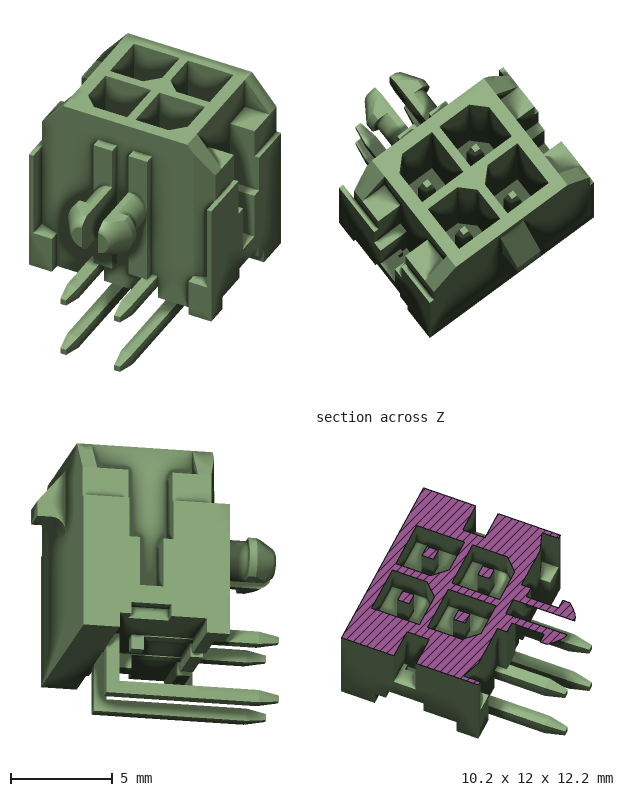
import cadquery as cq
import math


HOUSING_HEIGHT = 9.9
HOUSING_DEPTH = 6.83
CORE_HALF_WIDTH = 3.45
MID_Y = HOUSING_DEPTH / 2

POST_HALF_WIDTH = 4.82
OUTER_WIDTH = 10.15
OUTER_HALF_WIDTH = OUTER_WIDTH / 2
POST_TOP = 8.25
BEVEL_INNER_X = 3.8
BEVEL_DEPTH = 0.35
BACK_GUSSET = 0.73
FRONT_GUSSET = 1.03
PLATE_TOP = 6.73
EAR_TOP = 2.01
EAR_REACH = 0.54

WIDE_SLOT = 2.2
WIDE_SLOT_FLOOR = 4.72
NARROW_SLOT = 1.18
NARROW_SLOT_FLOOR = 2.24
POCKET_FLOOR = 1.57
POCKET_STEP_X = 3.83
POCKET_END_X = 4.14
POCKET_TONGUE = 0.78

RECESS_HEIGHT = 0.73
BACK_FOOT = 1.81
FRONT_FOOT = 0.64
NOTCH_WIDTH = 2.01
NOTCH_TOP = 1.32
NOTCH_DEPTH = 0.73

PITCH = 3.0
PIN = 0.64
PIN_TIP = 0.32
TAPER = 1.03
TAIL_REACH = 3.71
TAIL_DROP = 2.34
MATING_TIP = 6.73
BACK_LEG_SETBACK = 2.17
BACK_LEG_Y = HOUSING_DEPTH - BACK_LEG_SETBACK
UPPER_TAIL_Z = NOTCH_TOP - PIN / 2
LOWER_TAIL_Z = PIN / 2 - TAIL_DROP

CAVITY = 2.55
CAVITY_CORNER = 0.7
CAVITY_FLOOR = 3.0

RIB_INNER_X = 0.45
RIB_OUTER_X = 1.49
RIB_TOP = 8.52
RIB_REACH = 0.51
PEG_Z = 5.3
PEG_HALF_HEIGHT = 1.0
PEG_AXIS_X = 0.4
SHANK_RADIUS = 1.08
HEAD_RADIUS = 1.4
NOSE_RADIUS = 0.8
NOSE_FLAT_RADIUS = 0.61
SHANK_END = 2.23
HEAD_END = 2.62
CONE_END = 3.55
PEG_END = TAIL_REACH

LATCH_WIDTH = 1.43
LATCH_REACH = 1.41
LATCH_TOP = 9.34
LATCH_LIP_TOP = 7.7
LATCH_LIP_BOTTOM = 6.93
LATCH_RADIUS = 0.7


def box(x_range, y_range, z_range):
    """Axis-aligned block between the given limits."""
    size = [high - low for low, high in (x_range, y_range, z_range)]
    corner = (x_range[0], y_range[0], z_range[0])
    return cq.Workplane("XY").box(*size, centered=False).translate(corner)


def centred(middle, width):
    """Limits of a span of the given width about its middle."""
    return (middle - width / 2, middle + width / 2)


def tapered_tip():
    """Pin tip rising from the origin along +Z and narrowing to its end."""
    return cq.Workplane("XY").rect(PIN, PIN).workplane(offset=TAPER).rect(PIN_TIP, PIN_TIP).loft()


def make_side():
    """Post, cheek plate and ear on the +X side."""
    post_plan = [
        (0, 0),
        (BEVEL_INNER_X, 0),
        (POST_HALF_WIDTH, BEVEL_DEPTH),
        (POST_HALF_WIDTH, HOUSING_DEPTH),
        (0, HOUSING_DEPTH),
    ]
    post = cq.Workplane("XY").polyline(post_plan).close().extrude(HOUSING_HEIGHT)
    front_profile = [
        (0, 0),
        (POST_HALF_WIDTH, 0),
        (POST_HALF_WIDTH, POST_TOP),
        (CORE_HALF_WIDTH, HOUSING_HEIGHT),
        (0, HOUSING_HEIGHT),
    ]
    sloped = cq.Workplane("XZ").polyline(front_profile).close().extrude(-HOUSING_DEPTH)
    ledge = box(
        (CORE_HALF_WIDTH, OUTER_HALF_WIDTH),
        (FRONT_GUSSET, HOUSING_DEPTH - BACK_GUSSET),
        (POST_TOP, HOUSING_HEIGHT),
    )
    plate = box((POST_HALF_WIDTH, OUTER_HALF_WIDTH), (-EAR_REACH, HOUSING_DEPTH), (0, PLATE_TOP))
    ear = box((BEVEL_INNER_X, OUTER_HALF_WIDTH), (-EAR_REACH, BEVEL_DEPTH), (0, EAR_TOP))
    side = post.intersect(sloped).cut(ledge).union(plate).union(ear)

    slot_x = (CORE_HALF_WIDTH, OUTER_HALF_WIDTH)
    narrow_y = centred(MID_Y, NARROW_SLOT)
    pocket_z = (POCKET_FLOOR, NARROW_SLOT_FLOOR)
    tongue_x = (CORE_HALF_WIDTH, POCKET_END_X)
    side = side.cut(box(slot_x, centred(MID_Y, WIDE_SLOT), (WIDE_SLOT_FLOOR, HOUSING_HEIGHT)))
    side = side.cut(box(slot_x, narrow_y, (NARROW_SLOT_FLOOR, HOUSING_HEIGHT)))
    side = side.cut(box((CORE_HALF_WIDTH, POCKET_STEP_X), narrow_y, pocket_z))
    return side.cut(box(tongue_x, centred(MID_Y, POCKET_TONGUE), pocket_z))


def cut_underside(body):
    """Cross recess, edge notches and a slot in the front foot for each pin column."""
    full_x = (-OUTER_HALF_WIDTH, OUTER_HALF_WIDTH)
    body = body.cut(box(full_x, (FRONT_FOOT, HOUSING_DEPTH - BACK_FOOT), (0, RECESS_HEIGHT)))
    notch_x = (OUTER_HALF_WIDTH - NOTCH_DEPTH, OUTER_HALF_WIDTH)
    notch = box(notch_x, centred(MID_Y, NOTCH_WIDTH), (0, NOTCH_TOP))
    body = body.cut(notch).cut(notch.mirror("YZ"))
    for side in (-1, 1):
        pin_x = centred(side * PITCH / 2, PIN)
        body = body.cut(box(pin_x, (0, FRONT_FOOT), (0, RECESS_HEIGHT)))
    return body


def cavity(x, y, cut_corner):
    """Square contact cavity with one vertical corner cut off."""
    block = box(centred(x, CAVITY), centred(y, CAVITY), (CAVITY_FLOOR, HOUSING_HEIGHT))
    return block.edges("|Z").edges(cut_corner).chamfer(CAVITY_CORNER)


def cut_cavities(body):
    """Back row is keyed on the inner corners, front row on the outer ones."""
    front_y = MID_Y - PITCH / 2
    back_y = MID_Y + PITCH / 2
    for side in (-1, 1):
        x = side * PITCH / 2
        inner = "<X" if side > 0 else ">X"
        outer = ">X" if side > 0 else "<X"
        body = body.cut(cavity(x, back_y, inner + " and <Y"))
        body = body.cut(cavity(x, front_y, outer + " and <Y"))
    return body


def make_tail(x, start_y, z):
    """Horizontal solder tail running forward to a tapered tip."""
    taper_start = TAPER - TAIL_REACH
    bar = box(centred(x, PIN), (taper_start, start_y), centred(z, PIN))
    tip = tapered_tip().rotate((0, 0, 0), (1, 0, 0), 90).translate((x, taper_start, z))
    return bar.union(tip)


def make_contacts(x):
    """Both contacts of one column, with the short stop leg between the rows."""
    pin_x = centred(x, PIN)
    taper_start = MATING_TIP - TAPER
    contacts = make_tail(x, MID_Y, UPPER_TAIL_Z)
    contacts = contacts.union(make_tail(x, BACK_LEG_Y + PIN / 2, LOWER_TAIL_Z))
    contacts = contacts.union(box(pin_x, centred(BACK_LEG_Y, PIN), (-TAIL_DROP, NOTCH_TOP)))
    contacts = contacts.union(box(pin_x, centred(MID_Y, PIN), (0, NOTCH_TOP)))
    for row in (-1, 1):
        y = MID_Y + row * PITCH / 2
        contacts = contacts.union(box(pin_x, centred(y, PIN), (CAVITY_FLOOR - PIN, taper_start)))
        contacts = contacts.union(tapered_tip().translate((x, y, taper_start)))
    return contacts


def make_peg_half():
    """Rib and half of the locking peg on the +X side."""
    rib_x = (RIB_INNER_X, RIB_OUTER_X)
    rib = box(rib_x, (-RIB_REACH, 0), (NOTCH_TOP, RIB_TOP))
    half_profile = (
        cq.Workplane("XY")
        .moveTo(0, 0)
        .lineTo(SHANK_RADIUS, 0)
        .lineTo(SHANK_RADIUS, -SHANK_END)
        .lineTo(HEAD_RADIUS, -SHANK_END)
        .lineTo(HEAD_RADIUS, -HEAD_END)
        .lineTo(NOSE_RADIUS, -CONE_END)
        .tangentArcPoint((NOSE_FLAT_RADIUS, -PEG_END), relative=False)
        .lineTo(0, -PEG_END)
        .close()
    )
    turned = half_profile.revolve(360, (0, 0, 0), (0, 1, 0)).translate((PEG_AXIS_X, 0, PEG_Z))
    slab = box(
        (RIB_INNER_X, PEG_AXIS_X + HEAD_RADIUS),
        (-PEG_END, 0),
        centred(PEG_Z, 2 * PEG_HALF_HEIGHT),
    )
    return rib.union(turned.intersect(slab))


def make_latch():
    """Ramped catch on the back face with a concave underside."""
    arc_mid = LATCH_RADIUS / math.sqrt(2)
    arc_y = HOUSING_DEPTH + LATCH_RADIUS
    arc_z = LATCH_LIP_BOTTOM - LATCH_RADIUS
    tip_y = HOUSING_DEPTH + LATCH_REACH
    return (
        cq.Workplane("YZ")
        .moveTo(HOUSING_DEPTH, LATCH_TOP)
        .lineTo(tip_y, LATCH_LIP_TOP)
        .lineTo(tip_y, LATCH_LIP_BOTTOM)
        .lineTo(arc_y, LATCH_LIP_BOTTOM)
        .threePointArc((arc_y - arc_mid, arc_z + arc_mid), (HOUSING_DEPTH, arc_z))
        .close()
        .extrude(LATCH_WIDTH / 2, both=True)
    )


right_side = make_side()
housing = right_side.union(right_side.mirror("YZ"))
housing = cut_cavities(cut_underside(housing))

peg_half = make_peg_half()
result = housing.union(make_latch()).union(peg_half).union(peg_half.mirror("YZ"))
for column in (-1, 1):
    result = result.union(make_contacts(column * PITCH / 2))